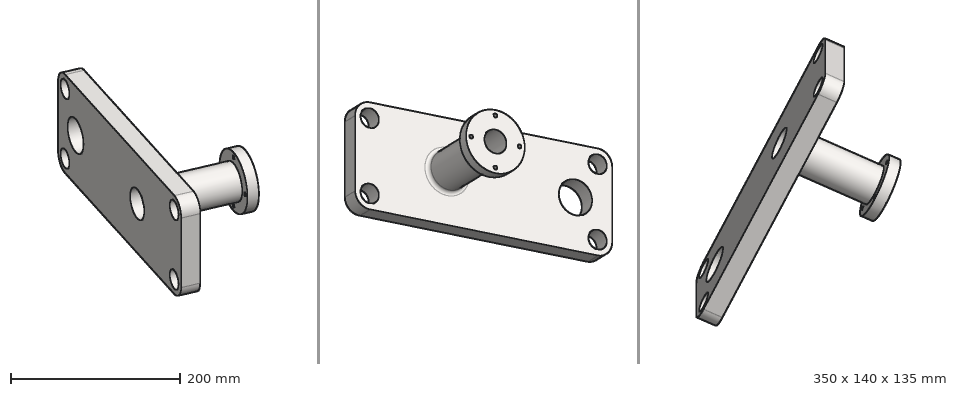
import cadquery as cq

plate_length = 350.0
plate_height = 135.0
plate_thickness = 25.0
corner_radius = 20.0

mount_hole_diameter = 25.0
mount_hole_inset = corner_radius
large_hole_diameter = 45.0
large_hole_x = 50.0

total_depth = 140.0
tube_x = 225.0
tube_diameter = 50.0
tube_bore_diameter = 30.0
tube_base_fillet = 5.2
flange_diameter = 79.8
flange_thickness = 15.0

counterbore_diameter = 40.0
counterbore_depth = 15.0

flange_hole_diameter = 5.0
flange_hole_circle_radius = 33.0
flange_hole_count = 4

middle_z = plate_height / 2
tube_center = (tube_x, middle_z)
flange_front_y = total_depth - flange_thickness


def rod(center, diameter, start_y, end_y):
    """Cylinder along Y between two depths, centred at (x, z)."""
    x, z = center
    return cq.Workplane(
        cq.Solid.makeCylinder(
            diameter / 2, end_y - start_y, cq.Vector(x, start_y, z), cq.Vector(0, 1, 0)
        )
    )


def make_plate():
    plate = cq.Workplane("XY").box(plate_length, plate_thickness, plate_height, centered=False)
    return plate.edges("|Y").fillet(corner_radius)


def add_tube(body):
    """Join the tube, blend it into the plate and cap it with the flange."""
    body = body.union(rod(tube_center, tube_diameter, 0, total_depth))
    base_height = plate_thickness + tube_base_fillet / 2
    base_edge = cq.selectors.BoxSelector(
        (tube_x - tube_diameter, plate_thickness - tube_base_fillet, middle_z - tube_diameter),
        (tube_x + tube_diameter, base_height, middle_z + tube_diameter),
    )
    body = body.edges(base_edge).edges("%CIRCLE").fillet(tube_base_fillet)
    return body.union(rod(tube_center, flange_diameter, flange_front_y, total_depth))


def cut_plate_holes(body):
    for x in (mount_hole_inset, plate_length - mount_hole_inset):
        for z in (mount_hole_inset, plate_height - mount_hole_inset):
            body = body.cut(rod((x, z), mount_hole_diameter, 0, plate_thickness))
    return body.cut(rod((large_hole_x, middle_z), large_hole_diameter, 0, plate_thickness))


def cut_tube_bore(body):
    body = body.cut(rod(tube_center, tube_bore_diameter, 0, total_depth))
    return body.cut(rod(tube_center, counterbore_diameter, 0, counterbore_depth))


def cut_flange_holes(body):
    holes = (
        cq.Workplane("XZ", origin=(tube_x, total_depth, middle_z))
        .polarArray(flange_hole_circle_radius, 0, 360, flange_hole_count)
        .circle(flange_hole_diameter / 2)
        .extrude(flange_thickness)
    )
    return body.cut(holes)


part = add_tube(make_plate())
part = cut_plate_holes(part)
part = cut_tube_bore(part)
result = cut_flange_holes(part)